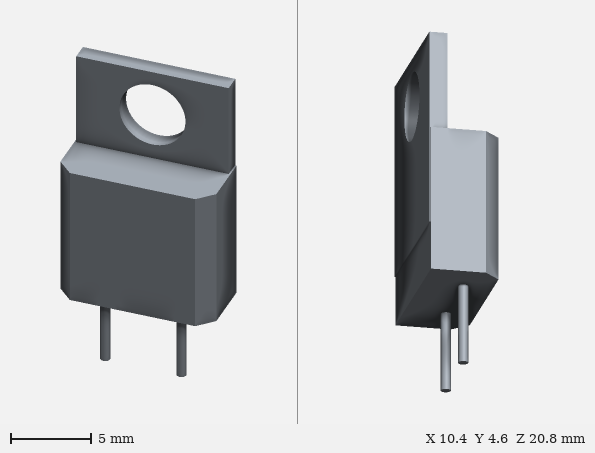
import cadquery as cq

BODY_WIDTH = 10.39
OVERALL_DEPTH = 4.6
BODY_HEIGHT = 9.40
BODY_CHAMFER = 1.016

TAB_WIDTH = 10.16
TAB_THICKNESS = 1.15
TAB_PROUD = 0.08
TAB_ABOVE_BODY = 6.35
TAB_IN_BODY = 6.23
HOLE_DIAMETER = 4.40
HOLE_BELOW_TAB_TOP = 3.15

LEAD_DIAMETER = 0.64
LEAD_LENGTH = 5.08
LEAD_PITCH = 5.08
LEAD_FROM_TAB_BACK = 2.71

BODY_BACK_Y = -TAB_PROUD
BODY_DEPTH = OVERALL_DEPTH - TAB_PROUD
TAB_BOTTOM_Z = BODY_HEIGHT - TAB_IN_BODY
TAB_HEIGHT = TAB_IN_BODY + TAB_ABOVE_BODY
HOLE_Z = TAB_BOTTOM_Z + TAB_HEIGHT - HOLE_BELOW_TAB_TOP


def make_tab_blank():
    """Plain tab plate, which also gives the shape of its recess in the body."""
    return (
        cq.Workplane("XY")
        .box(TAB_WIDTH, TAB_THICKNESS, TAB_HEIGHT, centered=(True, False, False))
        .translate((0, -TAB_THICKNESS, TAB_BOTTOM_Z))
    )


def make_tab():
    """Tab plate with its round mounting hole."""
    hole = (
        cq.Workplane("XZ")
        .center(0, HOLE_Z)
        .circle(HOLE_DIAMETER / 2)
        .extrude(TAB_THICKNESS)
    )
    return make_tab_blank().cut(hole)


def make_body():
    """Block with both front upright edges chamfered and a recess for the tab."""
    block = (
        cq.Workplane("XY")
        .box(BODY_WIDTH, BODY_DEPTH, BODY_HEIGHT, centered=(True, False, False))
        .translate((0, BODY_BACK_Y - BODY_DEPTH, 0))
        .faces("<Y")
        .edges("|Z")
        .chamfer(BODY_CHAMFER)
    )
    return block.cut(make_tab_blank())


def make_lead(x):
    """Round lead that hangs from the underside of the body."""
    return (
        cq.Workplane("XY")
        .center(x, -LEAD_FROM_TAB_BACK)
        .circle(LEAD_DIAMETER / 2)
        .extrude(-LEAD_LENGTH)
    )


body = make_body()
tab = make_tab()
leads = [make_lead(side * LEAD_PITCH / 2) for side in (-1, 1)]

result = cq.Compound.makeCompound([body.val(), tab.val(), *[lead.val() for lead in leads]])